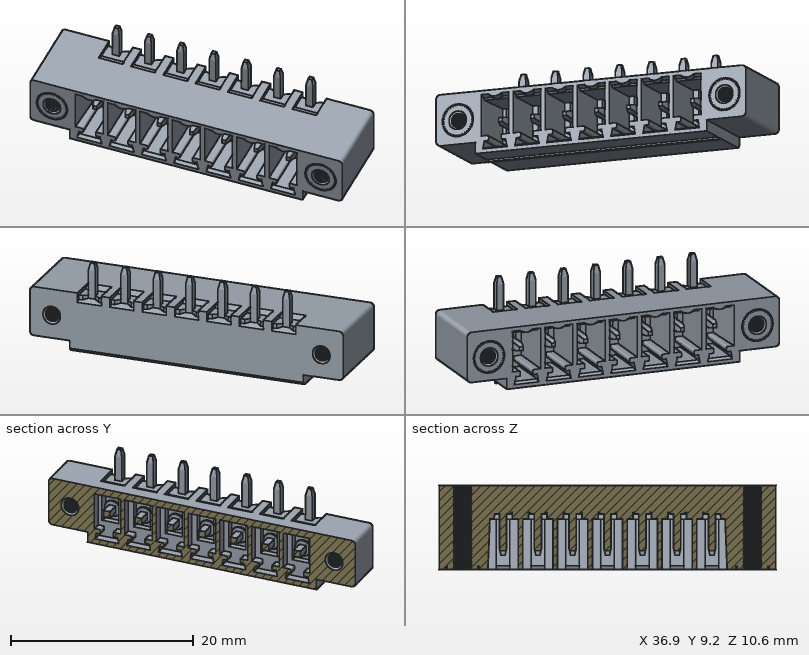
import cadquery as cq
import math


LENGTH = 36.85
DEPTH = 9.2
HEIGHT = 7.0
LOWER_LENGTH = 27.5
FLANGE_HEIGHT = 5.75
CORNER_RADIUS = 0.5
BACK_CHAMFER = 0.37
RIB_HEIGHT = 0.22
RIB_WIDTH = 0.45
RIB_FRONT = 3.17
TOTAL_HEIGHT = 10.6
FLANGE_BOTTOM = HEIGHT - FLANGE_HEIGHT

CONTACTS = 7
ROW_SPAN = 22.85
PITCH = ROW_SPAN / (CONTACTS - 1)
AXIS_Z = 3.95

CAVITY_WIDTH = 3.28
CAVITY_DEPTH = 5.53
CAVITY_FLOOR = 1.9
CAVITY_TOP = 6.55
CEILING_LEAD_IN = 0.7
CEILING_LEAD_DROP = 0.22
CEILING_STEP = 0.22
END_WALL_DRAFT = 0.22
HUMP_HALF_WIDTH = 0.8
HUMP_FRONT_DROP = 0.3
HUMP_BACK_DROP = 0.45

NECK_WIDTH = 1.47
NECK_BOTTOM = 1.33
NECK_FILLET = 0.2
SLOT_TOP_WIDTH = 2.5
SLOT_BOTTOM_WIDTH = 2.88
SLOT_FLOOR = 0.45
SLOT_FLOOR_RISE = 0.22
SLOT_LEAD_IN = 0.45

RECESS_WIDTH = 2.0
RECESS_FLOOR = 2.58
RECESS_DEPTH = 0.75
RECESS_TOP = CAVITY_TOP - CEILING_LEAD_DROP - CEILING_STEP
RECESS_END_DRAFT = 0.15
COLLAR_DIAMETER = 1.88
COLLAR_LENGTH = 0.2

PIN_SIZE = 0.8
PIN_TIP_SIZE = 0.45
PIN_TIP_LENGTH = 0.8
PIN_FRONT = 1.55
PIN_Y = DEPTH - 1.15

NOTCH_WIDTH = 2.8
NOTCH_LENGTH = 3.05
NOTCH_RAMP = 0.8
NOTCH_DROP = 0.37
MOUTH_EDGE = 0.4
MOUTH_HALF_WIDTH = 0.95
MOUTH_TOP_DROP = 0.37
MOUTH_BACK_DROP = 0.75

INSERT_X = 15.85
INSERT_DIAMETER = 3.65
THREAD_MINOR = 1.55
THREAD_MAJOR = 2.05
THREAD_TURNS = 32
KNURL_TEETH = 36
KNURL_DEPTH = 0.15
KNURL_LENGTH = 0.37


def box(x_min, x_max, y_min, y_max, z_min, z_max):
    return cq.Workplane("XY").box(
        x_max - x_min, y_max - y_min, z_max - z_min, centered=False
    ).translate((x_min, y_min, z_min))


def along_y(start=0.0):
    """Sketch plane with X right and Z up; a negative extrusion goes into the part."""
    return cq.Workplane("XZ", origin=(0, start, 0))


def side_profile(points, width):
    """Prism across X, centred on X = 0, from a (Y, Z) outline."""
    return cq.Workplane("YZ").polyline(points).close().extrude(width / 2, both=True)


def make_housing():
    flange = box(-LENGTH / 2, LENGTH / 2, 0, DEPTH, FLANGE_BOTTOM, HEIGHT)
    flange = flange.edges("|Y").fillet(CORNER_RADIUS)
    half = LOWER_LENGTH / 2
    lower = box(-half, half, 0, DEPTH, 0, HEIGHT / 2)
    lower = lower.edges(">Y and <Z").chamfer(BACK_CHAMFER)
    rib = box(-half, half, RIB_FRONT, RIB_FRONT + RIB_WIDTH, -RIB_HEIGHT, HEIGHT / 2)
    return flange.union(lower).union(rib)


def make_cavity(end_side):
    """Plug cavity centred on X = 0; end_side is -1 or 1 where that wall is tapered, else 0."""
    lead_in_end = CAVITY_TOP - CEILING_LEAD_DROP
    cavity = side_profile(
        [
            (0, CAVITY_FLOOR),
            (0, CAVITY_TOP),
            (CEILING_LEAD_IN, lead_in_end),
            (CEILING_LEAD_IN + CEILING_STEP, RECESS_TOP),
            (CAVITY_DEPTH, RECESS_TOP),
            (CAVITY_DEPTH, CAVITY_FLOOR),
        ],
        CAVITY_WIDTH,
    )
    recess_back = CAVITY_DEPTH + RECESS_DEPTH
    half = RECESS_WIDTH / 2
    recess = box(-half, half, CAVITY_DEPTH, recess_back, RECESS_FLOOR, RECESS_TOP)
    collar = (
        along_y(recess_back)
        .center(0, AXIS_Z)
        .circle(COLLAR_DIAMETER / 2)
        .extrude(COLLAR_LENGTH)
    )
    cavity = cavity.cut(make_ceiling_hump())
    if end_side:
        cavity = cavity.cut(
            end_wall_wedge(end_side, CAVITY_WIDTH, END_WALL_DRAFT, 0, CAVITY_DEPTH)
        )
        recess = recess.cut(
            end_wall_wedge(end_side, RECESS_WIDTH, RECESS_END_DRAFT, CAVITY_DEPTH, recess_back)
        )
    return cavity.union(recess.cut(collar)).union(make_coding_slot())


def make_ceiling_hump():
    """Round-bottomed bulge under the ceiling that deepens over the lead-in."""

    def outline(plane, drop):
        return (
            plane.moveTo(-HUMP_HALF_WIDTH, CAVITY_TOP)
            .threePointArc((0, CAVITY_TOP - drop), (HUMP_HALF_WIDTH, CAVITY_TOP))
            .close()
        )

    front = outline(along_y(), HUMP_FRONT_DROP)
    hump = outline(front.workplane(offset=-CEILING_LEAD_IN, origin=(0, 0, 0)), HUMP_BACK_DROP)
    return hump.loft(ruled=True, combine=False)


def end_wall_wedge(end_side, width, draft, front, back):
    """Wedge that leans one side wall inward by the draft between front and back."""
    wall = end_side * width / 2
    return (
        cq.Workplane("XY")
        .polyline([(wall, front), (wall, back), (wall - end_side * draft, back)])
        .close()
        .extrude(HEIGHT)
    )


def make_coding_slot():
    half_neck = NECK_WIDTH / 2
    neck = box(-half_neck, half_neck, 0, CAVITY_DEPTH, NECK_BOTTOM, CAVITY_FLOOR)
    top_flare = half_neck + NECK_FILLET
    for side in (-1, 1):
        for edge_z, direction in ((CAVITY_FLOOR, -1), (NECK_BOTTOM, 1)):
            arc_z = edge_z + direction * NECK_FILLET
            arc_mid = NECK_FILLET * (1 - math.sqrt(0.5))
            flare = (
                along_y()
                .moveTo(side * half_neck, edge_z)
                .lineTo(side * top_flare, edge_z)
                .threePointArc(
                    (side * (half_neck + arc_mid), edge_z + direction * arc_mid),
                    (side * half_neck, arc_z),
                )
                .close()
                .extrude(-CAVITY_DEPTH)
            )
            neck = neck.union(flare)
    slot = (
        along_y()
        .polyline(
            [
                (-SLOT_TOP_WIDTH / 2, NECK_BOTTOM),
                (SLOT_TOP_WIDTH / 2, NECK_BOTTOM),
                (SLOT_BOTTOM_WIDTH / 2, SLOT_FLOOR),
                (-SLOT_BOTTOM_WIDTH / 2, SLOT_FLOOR),
            ]
        )
        .close()
        .extrude(-CAVITY_DEPTH)
    )
    floor_z = SLOT_FLOOR + SLOT_FLOOR_RISE
    floor = side_profile(
        [
            (0, SLOT_FLOOR),
            (SLOT_LEAD_IN, floor_z),
            (CAVITY_DEPTH, floor_z),
            (CAVITY_DEPTH, SLOT_FLOOR),
        ],
        CAVITY_WIDTH,
    )
    return neck.union(slot.cut(floor))


def make_notch():
    """Top notch with a ramp at its front and a sloped, tapering mouth at the back."""
    front = DEPTH - NOTCH_LENGTH
    floor_z = HEIGHT - NOTCH_DROP
    notch = side_profile(
        [(front, HEIGHT), (front + NOTCH_RAMP, floor_z), (DEPTH, floor_z), (DEPTH, HEIGHT)],
        NOTCH_WIDTH,
    )
    half = NOTCH_WIDTH / 2
    pin_half = PIN_SIZE / 2
    pin_back = PIN_Y + pin_half
    mouth_front = DEPTH - MOUTH_EDGE
    mouth = (
        cq.Workplane("XY", origin=(0, 0, floor_z))
        .polyline(
            [
                (-half, DEPTH),
                (-half, mouth_front),
                (-MOUTH_HALF_WIDTH, mouth_front),
                (-pin_half, pin_back),
                (pin_half, pin_back),
                (MOUTH_HALF_WIDTH, mouth_front),
                (half, mouth_front),
                (half, DEPTH),
            ]
        )
        .close()
        .extrude(-MOUTH_BACK_DROP)
    )
    slope = side_profile(
        [
            (pin_back, floor_z),
            (DEPTH, floor_z),
            (DEPTH, floor_z - MOUTH_BACK_DROP),
            (pin_back, floor_z - MOUTH_TOP_DROP),
        ],
        NOTCH_WIDTH,
    )
    return notch.union(mouth.intersect(slope))


def pin_leg(plane, length):
    """Square bar from the plane's origin, ending in a tapered tip."""
    shank = length - PIN_TIP_LENGTH
    tip = (
        plane.workplane(offset=shank)
        .rect(PIN_SIZE, PIN_SIZE)
        .workplane(offset=PIN_TIP_LENGTH)
        .rect(PIN_TIP_SIZE, PIN_TIP_SIZE)
        .loft(combine=False)
    )
    return plane.rect(PIN_SIZE, PIN_SIZE).extrude(shank).union(tip)


def make_pin():
    """Right-angle contact: one leg toward the mating face, one leg up."""
    half = PIN_SIZE / 2
    front_leg_start = PIN_Y + half
    up_leg_start = AXIS_Z - half
    pin_top = TOTAL_HEIGHT - RIB_HEIGHT
    front_leg = pin_leg(
        cq.Workplane("XZ", origin=(0, front_leg_start, AXIS_Z)), front_leg_start - PIN_FRONT
    )
    up_leg = pin_leg(
        cq.Workplane("XY", origin=(0, PIN_Y, up_leg_start)), pin_top - up_leg_start
    )
    return front_leg.union(up_leg)


def make_thread_bore():
    """Through bore with ring-shaped thread grooves."""
    turn = DEPTH / THREAD_TURNS
    outline = [(0, 0), (THREAD_MAJOR / 2, 0)]
    for index in range(THREAD_TURNS):
        outline.append((THREAD_MINOR / 2, (index + 0.5) * turn))
        outline.append((THREAD_MAJOR / 2, (index + 1) * turn))
    outline.append((0, DEPTH))
    bore = cq.Workplane("XY").polyline(outline).close().revolve(360, (0, 0), (0, 1))
    return bore.translate((0, 0, AXIS_Z))


def make_knurl():
    """Ring of short V-grooves around the rim of an insert."""
    outer = INSERT_DIAMETER / 2
    inner = outer - KNURL_DEPTH
    half_width = math.pi * outer / KNURL_TEETH / 2
    tooth = (
        along_y()
        .polyline([(-half_width, outer), (half_width, outer), (0, inner)])
        .close()
        .extrude(-KNURL_LENGTH)
    )
    grooves = [
        tooth.rotate((0, 0, 0), (0, 1, 0), index * 360 / KNURL_TEETH).val()
        for index in range(KNURL_TEETH)
    ]
    return cq.Workplane(cq.Compound.makeCompound(grooves)).translate((0, 0, AXIS_Z))


result = make_housing()

for side in (-1, 1):
    position = (side * INSERT_X, 0, 0)
    result = result.cut(make_thread_bore().translate(position))
    result = result.cut(make_knurl().translate(position))

notch = make_notch()
pin = make_pin()
for index in range(CONTACTS):
    end_side = {0: -1, CONTACTS - 1: 1}.get(index, 0)
    position = (index * PITCH - ROW_SPAN / 2, 0, 0)
    result = result.cut(make_cavity(end_side).translate(position))
    result = result.cut(notch.translate(position))
    result = result.union(pin.translate(position))